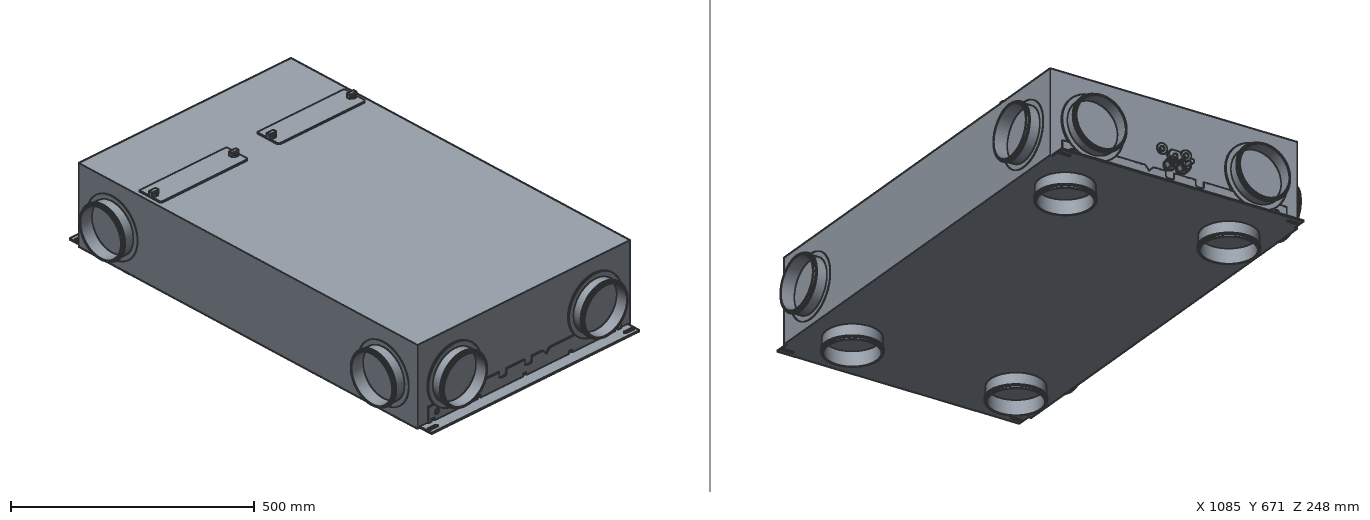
import cadquery as cq

BODY_X = 1003.0
BODY_Y = 603.0
BODY_Z = 200.0

SPIGOT_OD = 126.0
SPIGOT_ID = 119.0
SPIGOT_LENGTH = 35.0
SIDE_SPIGOT_LENGTH = 34.0
BEAD_OD = 130.0
BEAD_WIDTH = 3.0
BEAD_INSET = 4.0
FLANGE_OD = 150.0
END_FLANGE_THICKNESS = 4.0
SIDE_FLANGE_THICKNESS = 1.0
SPIGOT_X = 401.0
SPIGOT_Y = 199.0
SPIGOT_Z = 90.0

BRACKET_SHEET = 3.0
FOOT_WIDTH_Y = 590.0
LEFT_FOOT_REACH = 34.0
RIGHT_FOOT_REACH = 35.0
UPRIGHT_WIDTH_Y = 546.0
UPRIGHT_HEIGHT = 41.0
FOOT_SLOT_WIDTH = 8.0
FOOT_SLOT_LENGTH = 27.0
FOOT_SLOT_EDGE = 3.0
FOOT_SLOT_INSET = 14.0
RELIEF_COUNT = 5
RELIEF_PITCH = 130.0
RELIEF_WIDTH = 9.0
RELIEF_TOP = 10.0
FIXING_HOLE_DIAMETER = 12.0
FIXING_HOLE_Y = 249.0
FIXING_HOLE_Z = 22.0
NOTCH_Y = 62.0
NOTCH_WIDTH = 21.0
V_NOTCH_DEPTH = 11.0
U_NOTCH_DEPTH = 15.0
MIDDLE_NOTCH_Y = 11.0

COVER_X = 64.0
COVER_Y = 247.0
COVER_THICKNESS = 3.0
COVER_CORNER_RADIUS = 5.0
COVER_EDGE_Y = 11.0
COVER_CENTRE_FROM_END = 200.0
SCREW_INSET = 10.0
WASHER_DIAMETER = 20.0
WASHER_TOP = 8.0
GRIP_WIDTH = 9.0
GRIP_LENGTH = 20.0
SCREW_TOP = 13.0

GLAND_Y = 15.0
GLAND_Z = 55.0
NECK_DIAMETER = 22.0
NECK_END = 7.0
NUT_ACROSS_CORNERS = 26.0
NUT_END = 23.0
CAP_DIAMETER = 20.0
CAP_END = 27.0
CABLE_DIAMETER = 10.0
CABLE_END = 47.0
PLUG_DIAMETER = 24.0
PLUG_HEIGHT = 3.0
PLUG_Y = 29.0
PLUG_Z = 91.0
RECESS_DIAMETER = 11.0
RECESS_DEPTH = 2.0
SOCKET_WIDTH = 35.0
SOCKET_TOP_WIDTH = 21.0
SOCKET_BOTTOM_WIDTH = 14.0
SOCKET_RISE = 12.0
SOCKET_HEIGHT = 8.0
SOCKET_Z = 80.0

LEFT_END = -BODY_X / 2
OVERLAP = 2.0


def cylinder(base, axis, diameter, start, end):
    """Cylinder along axis, between two distances from the base point."""
    axis = cq.Vector(*axis)
    return cq.Workplane(
        cq.Solid.makeCylinder(diameter / 2, end - start, cq.Vector(*base) + axis * start, axis)
    )


def block(x_range, y_range, z_range):
    """Axis-aligned block from its limits."""
    sizes = [high - low for low, high in (x_range, y_range, z_range)]
    corner = (x_range[0], y_range[0], z_range[0])
    return cq.Workplane("XY").box(*sizes, centered=False).translate(corner)


def make_spigot(base, axis, length, flange_thickness):
    """Tube with a bead near its mouth and a flange closing it at the wall."""
    spigot = cylinder(base, axis, SPIGOT_OD, -OVERLAP, length)
    bead_end = length - BEAD_INSET
    spigot = spigot.union(cylinder(base, axis, BEAD_OD, bead_end - BEAD_WIDTH, bead_end))
    if flange_thickness:
        spigot = spigot.union(cylinder(base, axis, FLANGE_OD, -OVERLAP, flange_thickness))
    return spigot.cut(cylinder(base, axis, SPIGOT_ID, flange_thickness, length))


def make_spigots():
    """Two spigots on each side and end of the casing, and four below it."""
    spigots = []
    for a in (-1, 1):
        for b in (-1, 1):
            end_base = (a * BODY_X / 2, b * SPIGOT_Y, SPIGOT_Z)
            side_base = (a * SPIGOT_X, b * BODY_Y / 2, SPIGOT_Z)
            bottom_base = (a * SPIGOT_X, b * SPIGOT_Y, 0)
            spigots.append(make_spigot(end_base, (a, 0, 0), SPIGOT_LENGTH, END_FLANGE_THICKNESS))
            spigots.append(make_spigot(side_base, (0, b, 0), SIDE_SPIGOT_LENGTH, SIDE_FLANGE_THICKNESS))
            spigots.append(make_spigot(bottom_base, (0, 0, -1), SPIGOT_LENGTH, 0))
    return spigots


def make_bracket(reach):
    """Folded angle for the -X end, with its foot pointing outwards."""
    outer_face = LEFT_END - BRACKET_SHEET
    foot_edge = LEFT_END - reach
    sheet_x = (outer_face, LEFT_END + OVERLAP)
    half_foot = FOOT_WIDTH_Y / 2
    half_upright = UPRIGHT_WIDTH_Y / 2

    foot = block((foot_edge, LEFT_END + OVERLAP), (-half_foot, half_foot), (0, BRACKET_SHEET))
    slot_y = half_foot - FOOT_SLOT_EDGE - FOOT_SLOT_LENGTH / 2
    foot = foot.cut(
        cq.Workplane("XY")
        .pushPoints([(foot_edge + FOOT_SLOT_INSET, side * slot_y) for side in (-1, 1)])
        .slot2D(FOOT_SLOT_LENGTH, FOOT_SLOT_WIDTH, 90)
        .extrude(BRACKET_SHEET)
    )

    upright = block(sheet_x, (-half_upright, half_upright), (0, UPRIGHT_HEIGHT))
    half_notch = NOTCH_WIDTH / 2
    v_notch = [
        (NOTCH_Y - half_notch, UPRIGHT_HEIGHT),
        (NOTCH_Y, UPRIGHT_HEIGHT - V_NOTCH_DEPTH),
        (NOTCH_Y + half_notch, UPRIGHT_HEIGHT),
    ]
    notch_plane = cq.Workplane("YZ", origin=(outer_face, 0, 0))
    cutters = [notch_plane.polyline(v_notch).close().extrude(BRACKET_SHEET)]
    for y in (MIDDLE_NOTCH_Y, -NOTCH_Y):
        u_notch = block(
            (outer_face, LEFT_END),
            (y - half_notch, y + half_notch),
            (UPRIGHT_HEIGHT - U_NOTCH_DEPTH, UPRIGHT_HEIGHT),
        )
        cutters.append(u_notch.edges("|X and <Z").fillet(half_notch / 2))
    for side in (-1, 1):
        hole_base = (LEFT_END, side * FIXING_HOLE_Y, FIXING_HOLE_Z)
        cutters.append(cylinder(hole_base, (-1, 0, 0), FIXING_HOLE_DIAMETER, 0, BRACKET_SHEET))
    for i in range(RELIEF_COUNT):
        y = (i - (RELIEF_COUNT - 1) / 2) * RELIEF_PITCH
        y_range = (y - RELIEF_WIDTH / 2, y + RELIEF_WIDTH / 2)
        cutters.append(block((outer_face, LEFT_END), y_range, (BRACKET_SHEET, RELIEF_TOP)))
    for cutter in cutters:
        upright = upright.cut(cutter)
    return foot.union(upright)


def make_screw(x, y):
    """Cover screw: round washer with a flat finger grip standing on it."""
    base = (x, y, BODY_Z)
    washer = cylinder(base, (0, 0, 1), WASHER_DIAMETER, 0, WASHER_TOP)
    grip = block(
        (x - GRIP_WIDTH / 2, x + GRIP_WIDTH / 2),
        (y - GRIP_LENGTH / 2, y + GRIP_LENGTH / 2),
        (BODY_Z, BODY_Z + SCREW_TOP),
    )
    return washer.union(grip)


def make_cover(side):
    """Service cover with a screw at each end; side is the sign of its Y position."""
    x = LEFT_END + COVER_CENTRE_FROM_END
    y = side * (BODY_Y / 2 - COVER_EDGE_Y - COVER_Y / 2)
    cover = (
        cq.Workplane("XY")
        .box(COVER_X, COVER_Y, COVER_THICKNESS + OVERLAP, centered=(True, True, False))
        .edges("|Z and >X")
        .fillet(COVER_CORNER_RADIUS)
        .translate((x, y, BODY_Z - OVERLAP))
    )
    screw_offset = COVER_Y / 2 - SCREW_INSET
    for end in (-1, 1):
        cover = cover.union(make_screw(x, y + end * screw_offset))
    return cover


def make_gland(y):
    """Cable gland: neck, hexagonal nut and round cap with a cable opening."""
    base = (LEFT_END, y, GLAND_Z)
    outward = (-1, 0, 0)
    nut = (
        cq.Workplane("YZ", origin=(LEFT_END - NUT_END, y, GLAND_Z))
        .polygon(6, NUT_ACROSS_CORNERS)
        .extrude(NUT_END - NECK_END)
    )
    gland = cylinder(base, outward, NECK_DIAMETER, -OVERLAP, NECK_END)
    gland = gland.union(nut).union(cylinder(base, outward, CAP_DIAMETER, NUT_END, CAP_END))
    return gland.cut(cylinder(base, outward, CABLE_DIAMETER, NUT_END, CAP_END))


def make_socket():
    """Six-sided socket, widest at mid height, with a round recess in its face."""
    levels = [(SOCKET_TOP_WIDTH, SOCKET_RISE), (SOCKET_WIDTH, 0), (SOCKET_BOTTOM_WIDTH, -SOCKET_RISE)]
    right_side = [(width / 2, z) for width, z in levels]
    left_side = [(-y, z) for y, z in reversed(right_side)]
    socket = (
        cq.Workplane("YZ", origin=(LEFT_END - SOCKET_HEIGHT, 0, SOCKET_Z))
        .polyline(right_side + left_side)
        .close()
        .extrude(SOCKET_HEIGHT + OVERLAP)
    )
    base = (LEFT_END, 0, SOCKET_Z)
    recess_floor = SOCKET_HEIGHT - RECESS_DEPTH
    return socket.cut(cylinder(base, (-1, 0, 0), RECESS_DIAMETER, recess_floor, SOCKET_HEIGHT))


def make_fittings():
    """Two glands, one with a cable stub, below two flat plugs and a socket."""
    outward = (-1, 0, 0)
    fittings = [make_gland(side * GLAND_Y) for side in (-1, 1)]
    cable_base = (LEFT_END, -GLAND_Y, GLAND_Z)
    fittings.append(cylinder(cable_base, outward, CABLE_DIAMETER, NUT_END, CABLE_END))
    for side in (-1, 1):
        plug_base = (LEFT_END, side * PLUG_Y, PLUG_Z)
        plug = cylinder(plug_base, outward, PLUG_DIAMETER, -OVERLAP, PLUG_HEIGHT)
        recess = cylinder(plug_base, outward, RECESS_DIAMETER, PLUG_HEIGHT - RECESS_DEPTH, PLUG_HEIGHT)
        fittings.append(plug.cut(recess))
    fittings.append(make_socket())
    return fittings


result = cq.Workplane("XY").box(BODY_X, BODY_Y, BODY_Z, centered=(True, True, False))
attachments = [
    make_bracket(LEFT_FOOT_REACH),
    make_bracket(RIGHT_FOOT_REACH).mirror("YZ"),
    make_cover(-1),
    make_cover(1),
]
attachments += make_spigots()
attachments += make_fittings()
for attachment in attachments:
    result = result.union(attachment)